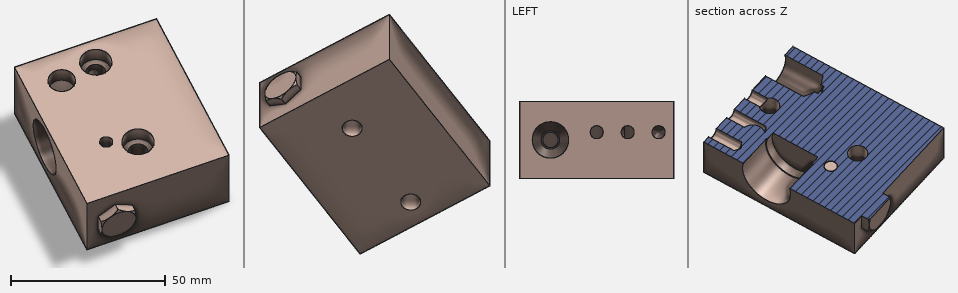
import cadquery as cq
import math

block_length = 60.0
block_width = 50.0
block_height = 25.0
mid_height = block_height / 2

mount_positions = [(8.5, block_width / 2), (43.5, block_width / 2)]
mount_diameter = 6.4
counterbore_diameter = 10.4
counterbore_depth = 5.5
top_port_position = (11.0, 12.0)
top_port_diameter = 8.8
top_port_depth = 5.7
post_diameter = 8.05
top_pilot_position = (39.5, 15.5)
pilot_diameter = 4.2
top_pilot_depth = 10.1

bore_x = block_width / 2
bore_diameter = 19.0
bore_depth = 12.9
bore_seat_diameter = 18.4
bore_full_depth = 16.1

pilot_height = 15.0
cross_pilot_y = block_width / 2
cross_pilot_depth = mount_positions[0][0]
inner_pilot_y = 15.0
inner_pilot_depth = 12.6
outer_pilot_y = 5.0
outer_pilot_depth = 10.1
drill_half_angle = math.radians(59)
side_port_y = 40.0
side_port_diameter = 11.8
side_port_depth = 15.1
side_seat_diameter = 6.0
side_seat_depth = 1.25
side_floor_diameter = 5.0
side_floor_depth = 0.6

plug_y = 9.95
plug_across_flats = 12.0
overall_length = 63.0
plug_height = overall_length - block_length
plug_chamfer_rise = 0.7
plug_end_diameter = 12.0


def cylinder_down(position, diameter, depth):
    """Cylinder going down from the top face."""
    return cq.Workplane("XY", origin=(*position, block_height)).circle(diameter / 2).extrude(-depth)


def hole_from_left(y, z, diameter, start, depth):
    """Flat-bottomed cutter along +X."""
    return cq.Workplane("YZ", origin=(start, y, z)).circle(diameter / 2).extrude(depth)


def drill_tip(y, z, diameter, start, end_diameter=0.0):
    """Cone, or cone frustum, left by a drill at the end of a hole along +X."""
    radius = diameter / 2
    end_radius = end_diameter / 2
    length = (radius - end_radius) / math.tan(drill_half_angle)
    cone = cq.Solid.makeCone(radius, end_radius, length, cq.Vector(start, y, z), cq.Vector(1, 0, 0))
    return cq.Workplane(obj=cone)


def drilled_pilot(y, depth):
    """Pilot hole in the left face, ending in a full drill tip."""
    tip = drill_tip(y, pilot_height, pilot_diameter, depth)
    return hole_from_left(y, pilot_height, pilot_diameter, 0, depth).union(tip)


def bore_from_front(diameter, depth):
    """Flat-bottomed cutter along +Y."""
    return cq.Workplane("XZ", origin=(bore_x, 0, mid_height)).circle(diameter / 2).extrude(-depth)


def cut_side_port(body):
    """Conical-bottomed port with a stepped seat at its end."""
    cone_length = (side_port_diameter - side_seat_diameter) / 2 / math.tan(drill_half_angle)
    seat_start = side_port_depth + cone_length
    floor_start = seat_start + side_seat_depth
    body = body.cut(hole_from_left(side_port_y, mid_height, side_port_diameter, 0, side_port_depth))
    body = body.cut(drill_tip(side_port_y, mid_height, side_port_diameter, side_port_depth, side_seat_diameter))
    body = body.cut(hole_from_left(side_port_y, mid_height, side_seat_diameter, seat_start, side_seat_depth))
    return body.cut(
        hole_from_left(side_port_y, mid_height, side_floor_diameter, floor_start, side_floor_depth)
    )


def make_plug_head():
    """Hexagon with corners at top and bottom, its outer corners turned to a cone."""
    corner_diameter = plug_across_flats / math.cos(math.pi / 6)
    corner_radius = corner_diameter / 2
    shoulder = plug_height - plug_chamfer_rise
    hexagon = (
        cq.Workplane("YZ", origin=(block_length, plug_y, mid_height))
        .transformed(rotate=(0, 0, 90))
        .polygon(6, corner_diameter)
        .extrude(plug_height)
    )
    turned = (
        cq.Workplane("XY")
        .polyline([
            (0, 0),
            (0, corner_radius),
            (shoulder, corner_radius),
            (plug_height, plug_end_diameter / 2),
            (plug_height, 0),
        ])
        .close()
        .revolve(360, (0, 0, 0), (1, 0, 0))
        .translate((block_length, plug_y, mid_height))
    )
    return hexagon.intersect(turned)


body = cq.Workplane("XY").box(block_length, block_width, block_height, centered=False)

for position in mount_positions:
    body = body.cut(cylinder_down(position, mount_diameter, block_height))
    body = body.cut(cylinder_down(position, counterbore_diameter, counterbore_depth))
body = body.cut(cylinder_down(top_port_position, top_port_diameter, top_port_depth))
body = body.cut(cylinder_down(top_pilot_position, pilot_diameter, top_pilot_depth))

body = body.cut(bore_from_front(bore_diameter, bore_depth))
body = body.cut(bore_from_front(bore_seat_diameter, bore_full_depth))

body = body.cut(hole_from_left(cross_pilot_y, pilot_height, pilot_diameter, 0, cross_pilot_depth))
post = cylinder_down(top_port_position, post_diameter, block_height)
body = body.cut(drilled_pilot(inner_pilot_y, inner_pilot_depth).cut(post))
body = body.cut(drilled_pilot(outer_pilot_y, outer_pilot_depth))
body = cut_side_port(body)

result = body.union(make_plug_head())